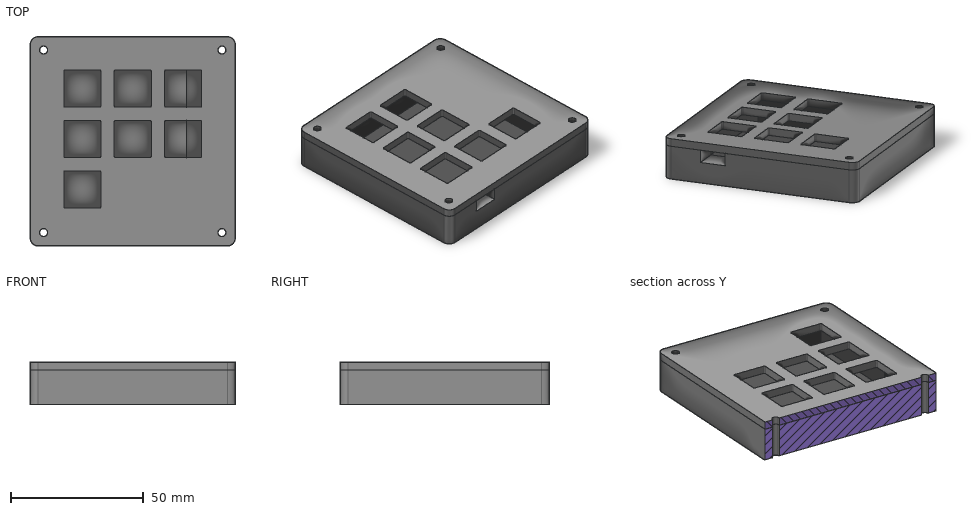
import cadquery as cq

CASE_X = 77.4
CASE_Y = 79.0
CASE_HEIGHT = 16.0
CORNER_RADIUS = 3.0
LID_THICKNESS = 3.0
TRAY_HEIGHT = CASE_HEIGHT - LID_THICKNESS

WALL = 10.0
FLOOR = 3.0
CAVITY_X = CASE_X - 2 * WALL
CAVITY_Y = CASE_Y - 2 * WALL

SCREW_DIAMETER = 2.9
SCREW_INSET = 5.05

CABLE_WIDTH = 10.0
CABLE_DEPTH = 4.9
CABLE_Y = 19.4

KEY_SIZE = 14.0
KEY_PITCH = 19.0
KEY_RADIUS = 0.5
KEY_MIDDLE_Y = 0.9
KEY_STEPS = [(-1, 1), (0, 1), (1, 1), (-1, 0), (0, 0), (1, 0), (-1, -1)]

BOARD_THICKNESS = 1.6
BOARD_GAP = 0.7
BOARD_RIGHT_X = 20.3
BOARD_LEFT_X = -CAVITY_X / 2 + BOARD_GAP
BOARD_LENGTH_X = BOARD_RIGHT_X - BOARD_LEFT_X
BOARD_LENGTH_Y = CAVITY_Y - 2 * BOARD_GAP


def case_slab(bottom_z, height):
    """Rounded slab with the case outline and the four screw holes."""
    return (
        cq.Workplane("XY", origin=(0, 0, bottom_z))
        .rect(CASE_X, CASE_Y)
        .extrude(height)
        .edges("|Z")
        .fillet(CORNER_RADIUS)
        .faces(">Z")
        .workplane(origin=(0, 0, 0))
        .rect(CASE_X - 2 * SCREW_INSET, CASE_Y - 2 * SCREW_INSET, forConstruction=True)
        .vertices()
        .hole(SCREW_DIAMETER)
    )


def make_tray():
    """Open box with thick walls and a cable notch through the -X wall."""
    cavity = (
        cq.Workplane("XY", origin=(0, 0, FLOOR))
        .rect(CAVITY_X, CAVITY_Y)
        .extrude(TRAY_HEIGHT - FLOOR)
    )
    cable_notch = (
        cq.Workplane("XY", origin=((WALL - CASE_X) / 2, CABLE_Y, TRAY_HEIGHT - CABLE_DEPTH))
        .rect(WALL, CABLE_WIDTH)
        .extrude(CABLE_DEPTH)
    )
    return case_slab(0, TRAY_HEIGHT).cut(cavity).cut(cable_notch)


def make_lid():
    """Flat cover with a square opening for each key."""
    key_centres = [
        (column * KEY_PITCH, KEY_MIDDLE_Y + row * KEY_PITCH) for column, row in KEY_STEPS
    ]
    key_openings = (
        cq.Workplane("XY", origin=(0, 0, TRAY_HEIGHT))
        .pushPoints(key_centres)
        .rect(KEY_SIZE, KEY_SIZE)
        .extrude(LID_THICKNESS)
        .edges("|Z")
        .fillet(KEY_RADIUS)
    )
    return case_slab(TRAY_HEIGHT, LID_THICKNESS).cut(key_openings)


def make_board():
    """Plain board that leaves the +X end of the tray floor uncovered."""
    middle_x = (BOARD_LEFT_X + BOARD_RIGHT_X) / 2
    return (
        cq.Workplane("XY", origin=(middle_x, 0, FLOOR))
        .rect(BOARD_LENGTH_X, BOARD_LENGTH_Y)
        .extrude(BOARD_THICKNESS)
    )


tray = make_tray()
lid = make_lid()
board = make_board()
result = cq.Compound.makeCompound([tray.val(), lid.val(), board.val()])